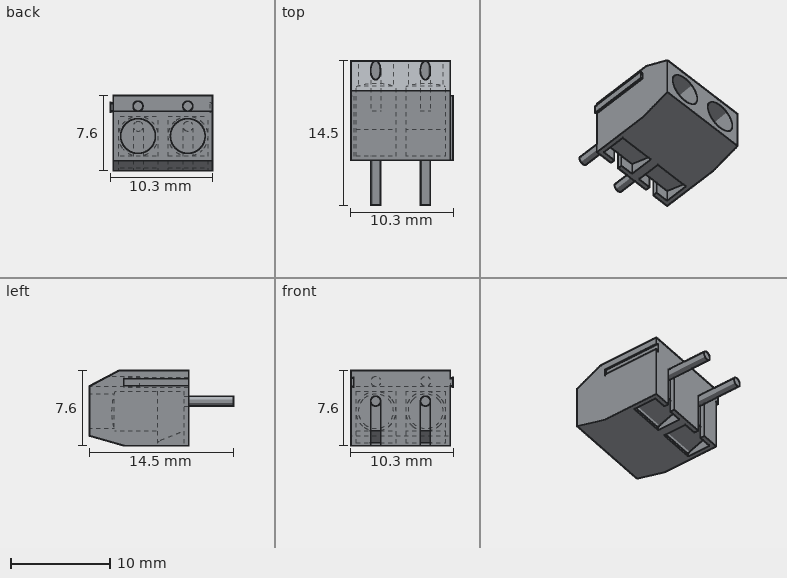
import cadquery as cq
import math


width = 10.0
depth = 10.0
height = 7.6
screw_face_bottom = 1.0
screw_face_top = 6.0
top_slope_run = 3.0
bottom_slope_run = 3.5

pole_count = 2
pole_pitch = width / pole_count
pole_xs = [(i - (pole_count - 1) / 2) * pole_pitch for i in range(pole_count)]

dovetail_depth = 0.29
dovetail_root = 0.67
dovetail_tip = 1.02
dovetail_z = height - 1.2
dovetail_length = 6.52

pin_diameter = 1.0
pin_radius = pin_diameter / 2
pin_z = 4.5
pin_projection = 4.5
front_wall = 0.5

chamber_width = 4.0
chamber_back = 3.16
ramp_top_z = 1.52
ramp_angle = math.radians(21.6)
heel_radius = 0.4
heel_end_tilt = math.radians(20)

screw_diameter = 4.0
screw_radius = screw_diameter / 2
screw_z = (screw_face_bottom + screw_face_top) / 2
screw_rim_y = 7.45
crown_rise = 0.33
rim_fillet = 0.15
access_hole_diameter = 3.5
clamp_top_z = screw_z + screw_radius

test_hole_diameter = 1.0
test_hole_z = screw_face_top + test_hole_diameter / 2
test_hole_depth = 5.0


def rod_along_y(diameter, x, z, y_start, y_end):
    """Round rod parallel to Y."""
    rod = cq.Workplane("XZ", origin=(x, y_start, z)).circle(diameter / 2)
    return rod.extrude(y_start - y_end)


def housing_block():
    outline = [
        (0, 0),
        (depth - bottom_slope_run, 0),
        (depth, screw_face_bottom),
        (depth, screw_face_top),
        (depth - top_slope_run, height),
        (0, height),
    ]
    return cq.Workplane("YZ").polyline(outline).close().extrude(width / 2, both=True)


def dovetail(x_root):
    """Dovetail bar that widens toward +X, starting at the pin face."""
    outline = [
        (x_root, dovetail_z - dovetail_root / 2),
        (x_root + dovetail_depth, dovetail_z - dovetail_tip / 2),
        (x_root + dovetail_depth, dovetail_z + dovetail_tip / 2),
        (x_root, dovetail_z + dovetail_root / 2),
    ]
    return cq.Workplane("XZ").polyline(outline).close().extrude(-dovetail_length)


def pin_slot(x):
    """Slot through the front wall, round over the pin and open at the bottom."""
    slot = (
        cq.Workplane("XZ")
        .moveTo(x - pin_radius, 0)
        .lineTo(x - pin_radius, pin_z)
        .threePointArc((x, pin_z + pin_radius), (x + pin_radius, pin_z))
        .lineTo(x + pin_radius, 0)
        .close()
    )
    return slot.extrude(-front_wall)


def clamp_chamber(x):
    """Chamber behind the front wall, open at the bottom for the wire."""
    chamber = cq.Workplane("XY", origin=(x, front_wall, 0))
    return chamber.box(
        chamber_width,
        chamber_back - front_wall,
        clamp_top_z,
        centered=(True, False, False),
    )


def make_pin(x):
    return rod_along_y(pin_diameter, x, pin_z, -pin_projection, front_wall)


def make_clamp(x):
    """Clamp block with a ramp underneath that curves down to the rear wall."""

    def heel_point(tilt):
        """Point of the heel arc where its surface tilts this far from vertical."""
        return (heel_y + heel_radius * math.cos(tilt), heel_z + heel_radius * math.sin(tilt))

    ramp_tilt = math.pi / 2 - ramp_angle
    heel_y = chamber_back - heel_radius * math.cos(heel_end_tilt)
    ramp_run = heel_y + heel_radius * math.cos(ramp_tilt) - front_wall
    heel_z = ramp_top_z - ramp_run * math.tan(ramp_angle) - heel_radius * math.sin(ramp_tilt)
    profile = (
        cq.Workplane("YZ")
        .moveTo(front_wall, clamp_top_z)
        .lineTo(front_wall, ramp_top_z)
        .lineTo(*heel_point(ramp_tilt))
        .threePointArc(heel_point((ramp_tilt + heel_end_tilt) / 2), heel_point(heel_end_tilt))
        .lineTo(chamber_back, clamp_top_z)
        .close()
    )
    return profile.extrude(chamber_width / 2, both=True).translate((x, 0, 0))


def crown_point(radius):
    """Point of the spherical crown's profile at a distance from the screw axis."""
    sphere_radius = (screw_radius**2 + crown_rise**2) / (2 * crown_rise)
    sphere_y = screw_rim_y + crown_rise - sphere_radius
    return (radius, sphere_y + math.sqrt(sphere_radius**2 - radius**2))


def make_screw(x):
    """Plain screw body with a domed, round-edged end toward the screw face."""
    profile = (
        cq.Workplane("XY")
        .moveTo(0, chamber_back)
        .lineTo(screw_radius, chamber_back)
        .lineTo(screw_radius, screw_rim_y)
        .threePointArc(crown_point(screw_radius / 2), (0, screw_rim_y + crown_rise))
        .close()
    )
    body = profile.revolve(360, (0, 0, 0), (0, 1, 0))
    rim = cq.selectors.BoxSelector(
        (-screw_diameter, screw_rim_y - rim_fillet / 2, -screw_diameter),
        (screw_diameter, screw_rim_y + rim_fillet / 2, screw_diameter),
    )
    return body.edges(rim).fillet(rim_fillet).translate((x, 0, screw_z))


def make_housing(screws):
    body = housing_block().union(dovetail(width / 2)).cut(dovetail(-width / 2))
    for x, screw in zip(pole_xs, screws):
        body = body.cut(pin_slot(x)).cut(clamp_chamber(x)).cut(screw)
        body = body.cut(rod_along_y(access_hole_diameter, x, screw_z, screw_rim_y, depth))
        body = body.cut(rod_along_y(test_hole_diameter, x, test_hole_z, depth - test_hole_depth, depth))
    return body


pins = [make_pin(x) for x in pole_xs]
clamps = [make_clamp(x) for x in pole_xs]
screws = [make_screw(x) for x in pole_xs]
housing = make_housing(screws)

bodies = [housing, *pins, *clamps, *screws]
result = cq.Compound.makeCompound([body.val() for body in bodies])